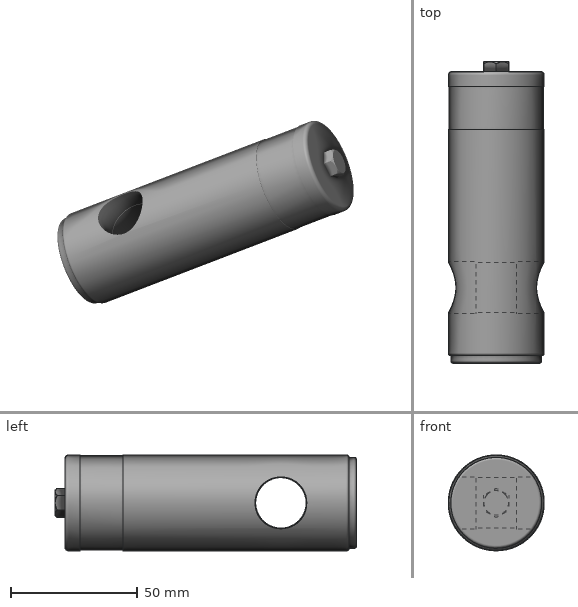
import cadquery as cq
import math


BODY_DIAMETER = 38.0
GROOVE_DIAMETER = 37.5
NOSE_DIAMETER = 36.0

NOSE_END_Y = -30.0
NOSE_LENGTH = 3.0
GROOVE_LENGTH = 17.0
COLLAR_LENGTH = 6.0
HOUSING_LENGTH = 115.5
BODY_START_Y = NOSE_END_Y + NOSE_LENGTH
COLLAR_END_Y = NOSE_END_Y + HOUSING_LENGTH
GROOVE_END_Y = COLLAR_END_Y - COLLAR_LENGTH
GROOVE_START_Y = GROOVE_END_Y - GROOVE_LENGTH

FRONT_ROUND = 1.0
COLLAR_ROUND = 1.5

CROSS_HOLE_DIAMETER = 20.0
RELIEF_DIAMETER = 20.5
LAND_WIDTH = 16.0

HEX_ACROSS_FLATS = 10.0
HEX_HEIGHT = 4.0
HEX_TOP_DIAMETER = 9.73
HEX_CHAMFER_ANGLE = 45.0


def cylinder_along_y(diameter, start_y, length):
    return cq.Workplane("XZ", origin=(0, start_y, 0)).circle(diameter / 2).extrude(-length)


def cylinder_along_x(diameter, start_x, length):
    return cq.Workplane("YZ", origin=(start_x, 0, 0)).circle(diameter / 2).extrude(length)


def make_housing():
    nose = cylinder_along_y(NOSE_DIAMETER, NOSE_END_Y, NOSE_LENGTH)
    nose = nose.faces("<Y").edges().fillet(FRONT_ROUND)

    barrel = cylinder_along_y(BODY_DIAMETER, BODY_START_Y, GROOVE_START_Y - BODY_START_Y)
    barrel = barrel.faces("<Y").edges().fillet(FRONT_ROUND)

    groove_floor = cylinder_along_y(GROOVE_DIAMETER, GROOVE_START_Y, GROOVE_LENGTH)

    collar = cylinder_along_y(BODY_DIAMETER, GROOVE_END_Y, COLLAR_LENGTH)
    collar = collar.faces(">Y").edges().fillet(COLLAR_ROUND)

    housing = barrel.union(nose).union(groove_floor).union(collar)
    return cut_cross_hole(housing)


def cut_cross_hole(housing):
    body_radius = BODY_DIAMETER / 2
    relief_length = body_radius - LAND_WIDTH / 2
    housing = housing.cut(cylinder_along_x(CROSS_HOLE_DIAMETER, -body_radius, BODY_DIAMETER))
    for relief_start_x in (-body_radius, LAND_WIDTH / 2):
        housing = housing.cut(cylinder_along_x(RELIEF_DIAMETER, relief_start_x, relief_length))
    return housing


def make_hex_head():
    corner_diameter = HEX_ACROSS_FLATS / math.cos(math.radians(30))
    prism = (
        cq.Workplane("XZ", origin=(0, COLLAR_END_Y, 0))
        .transformed(rotate=(0, 0, 30))
        .polygon(6, corner_diameter)
        .extrude(-HEX_HEIGHT)
    )

    chamfer_width = (corner_diameter - HEX_TOP_DIAMETER) / 2
    chamfer_drop = chamfer_width * math.tan(math.radians(HEX_CHAMFER_ANGLE))
    profile = [
        (0, 0),
        (corner_diameter / 2, 0),
        (corner_diameter / 2, HEX_HEIGHT - chamfer_drop),
        (HEX_TOP_DIAMETER / 2, HEX_HEIGHT),
        (0, HEX_HEIGHT),
    ]
    envelope = (
        cq.Workplane("XY", origin=(0, COLLAR_END_Y, 0))
        .polyline(profile)
        .close()
        .revolve(360, (0, 0), (0, 1))
    )
    return prism.intersect(envelope)


housing = make_housing().solids()
hex_head = make_hex_head().solids()

result = cq.Compound.makeCompound([housing.val(), hex_head.val()])